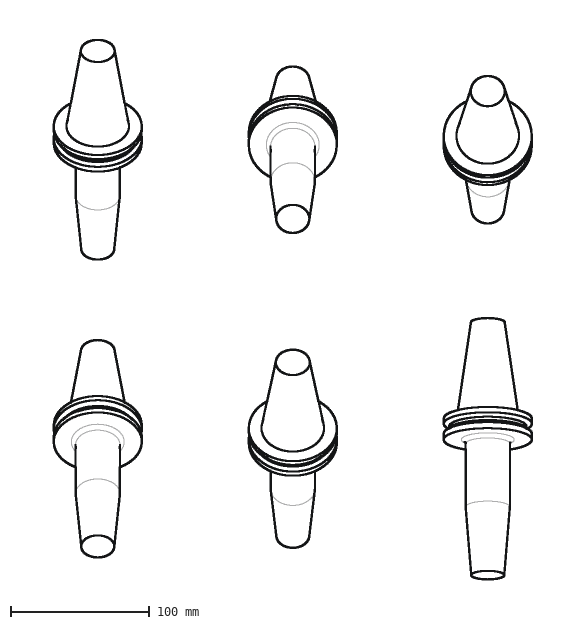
import cadquery as cq

total_height = 188.4
nose_height = 50.9
flange_bottom = 101.0
flange_height = 15.8
flange_top = flange_bottom + flange_height

nose_radius = 24.0 / 2
shank_radius = 32.0 / 2
flange_radius = 63.5 / 2
groove_radius = 56.0 / 2
taper_large_radius = 45.0 / 2
taper_small_radius = 24.5 / 2

lower_rim_height = 4.5
upper_rim_height = 4.0
upper_wall_height = 2.3
lower_wall_height = 1.9

step_width = 0.5
step_radius = groove_radius + step_width
step_height = 0.5

groove_bottom = flange_bottom + lower_rim_height
groove_top = flange_top - upper_rim_height
step_bottom = groove_bottom + lower_wall_height
step_top = step_bottom + step_height

fillet_radius = 3.0

profile = (
    cq.Workplane("XZ")
    .lineTo(nose_radius, 0)
    .lineTo(shank_radius, nose_height)
    .lineTo(shank_radius, flange_bottom - fillet_radius)
    .radiusArc((shank_radius + fillet_radius, flange_bottom), fillet_radius)
    .lineTo(flange_radius, flange_bottom)
    .lineTo(flange_radius, groove_bottom)
    .lineTo(step_radius, step_bottom)
    .lineTo(step_radius, step_top)
    .lineTo(groove_radius, step_top)
    .lineTo(groove_radius, groove_top - upper_wall_height)
    .lineTo(flange_radius, groove_top)
    .lineTo(flange_radius, flange_top)
    .lineTo(taper_large_radius, flange_top)
    .lineTo(taper_small_radius, total_height)
    .lineTo(0, total_height)
    .close()
)

result = profile.revolve(360, (0, 0, 0), (0, 1, 0))